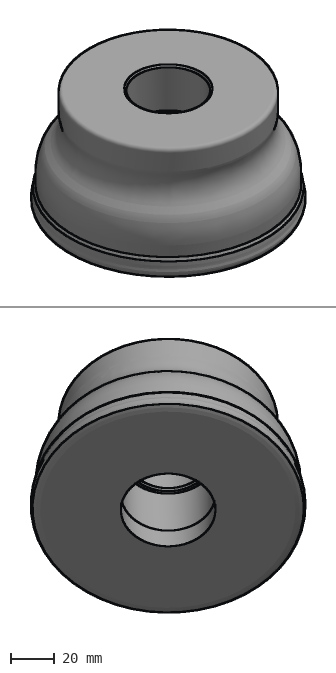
import math

import cadquery as cq

height = 63.0
base_radius = 62.5
collar_radius = 50.0
skirt_radius = 60.5

joint_height = 11.2

top_round = 2.0
waist_arc_radius = 15.0
cone_angle = math.radians(45)
cone_top_radius = 53.45
cone_top_height = 34.0
cone_bottom_height = 31.3
shoulder_height = 28.1
skirt_top_height = 17.4
skirt_arc_radius = 26.0
collar_round = 5.5

bore_radius = 19.05
bore_chamfer = 1.0
bore_depth = 25.45
recess_radius = 21.5

flare_bottom = (61.55, 9.5)
taper_bottom = (61.95, 7.2)
step_bottom = (62.05, 6.1)
ridge_bottom = (62.15, 5.36)
rim_top_height = 4.2
rim_bottom_height = 3.5
heel_radius = 61.7
heel_height = 1.2
foot_edge_radius = 60.0
foot_edge_height = 0.5
foot_radius = 58.0


def make_housing():
    """Bell-shaped housing: collar, concave waist, cone, rounded shoulder and straight skirt."""
    waist_centre_radius = cone_top_radius + waist_arc_radius * math.cos(cone_angle)
    waist_centre_height = cone_top_height + waist_arc_radius * math.sin(cone_angle)
    collar_bottom_height = waist_centre_height + math.sqrt(
        waist_arc_radius**2 - (waist_centre_radius - collar_radius) ** 2
    )
    cone_bottom_radius = cone_top_radius + (cone_top_height - cone_bottom_height) / math.tan(cone_angle)
    shoulder_rise = shoulder_height - skirt_top_height
    skirt_centre_radius = skirt_radius - skirt_arc_radius
    shoulder_radius = skirt_centre_radius + math.sqrt(skirt_arc_radius**2 - shoulder_rise**2)

    body = (
        cq.Workplane("XZ")
        .moveTo(0, joint_height)
        .lineTo(skirt_radius, joint_height)
        .lineTo(skirt_radius, skirt_top_height)
        .tangentArcPoint((shoulder_radius, shoulder_height), relative=False)
        .tangentArcPoint((cone_bottom_radius, cone_bottom_height), relative=False)
        .lineTo(cone_top_radius, cone_top_height)
        .threePointArc(
            (waist_centre_radius - waist_arc_radius, waist_centre_height),
            (collar_radius, collar_bottom_height),
        )
        .lineTo(collar_radius, height)
        .lineTo(0, height)
        .close()
        .revolve(360, (0, 0), (0, 1))
    )
    body = body.faces(">Z").edges().fillet(top_round)
    collar_edge = cq.selectors.NearestToPointSelector((0, 0, collar_bottom_height))
    body = body.edges("%CIRCLE").edges(collar_edge).fillet(collar_round)
    return body.cut(make_bore())


def make_bore():
    """Stepped bore along Z, chamfered at both ends of its narrow part."""
    bore_bottom = height - bore_depth
    wide_radius = bore_radius + bore_chamfer
    return (
        cq.Workplane("XZ")
        .moveTo(0, 0)
        .lineTo(recess_radius, 0)
        .lineTo(recess_radius, bore_bottom)
        .lineTo(wide_radius, bore_bottom)
        .lineTo(bore_radius, bore_bottom + bore_chamfer)
        .lineTo(bore_radius, height - bore_chamfer)
        .lineTo(wide_radius, height)
        .lineTo(0, height)
        .close()
        .revolve(360, (0, 0), (0, 1))
    )


def make_base_ring():
    """Flared ring under the housing, with a stepped rim and a rounded heel."""
    return (
        cq.Workplane("XZ")
        .moveTo(recess_radius, 0)
        .lineTo(recess_radius, joint_height)
        .lineTo(skirt_radius, joint_height)
        .lineTo(*flare_bottom)
        .lineTo(*taper_bottom)
        .lineTo(*step_bottom)
        .lineTo(*ridge_bottom)
        .lineTo(base_radius, rim_top_height)
        .lineTo(base_radius, rim_bottom_height)
        .tangentArcPoint((heel_radius, heel_height), relative=False)
        .lineTo(foot_edge_radius, foot_edge_height)
        .lineTo(foot_radius, 0)
        .close()
        .revolve(360, (0, 0), (0, 1))
    )


housing = make_housing()
base_ring = make_base_ring()
result = cq.Compound.makeCompound([housing.val(), base_ring.val()])